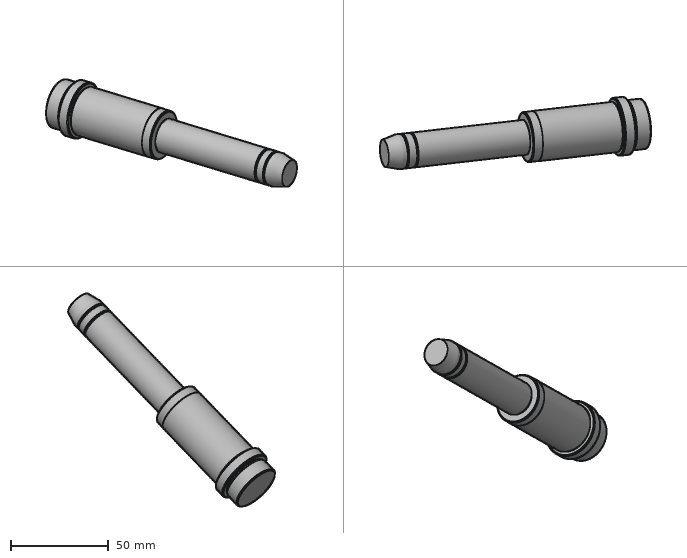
import cadquery as cq

length = 140.0
collar_dia = 30.0
body_dia = 26.0
lead_dia = 25.9
shaft_dia = 18.0
tip_dia = 14.3

collar_start = 9.0
collar_end = 15.0
lead_start = 58.7
body_end = 63.8
taper_start = 132.9
ring_groove_starts = (124.5, 129.5)

edge_chamfer = 0.5
head_relief_width = 1.3
body_relief_width = 0.7
relief_depth = 0.5
neck_width = 0.4
neck_depth = 0.7
ring_groove_width = 0.8
ring_groove_depth = 0.3


def cylinder(start, end, diameter):
    """Solid cylinder along X between two stations."""
    return cq.Workplane("YZ", origin=(start, 0, 0)).circle(diameter / 2).extrude(end - start)


def cone(start, end, start_dia, end_dia):
    """Solid frustum along X between two stations."""
    profile = [(start, 0), (start, start_dia / 2), (end, end_dia / 2), (end, 0)]
    return cq.Workplane("XY").polyline(profile).close().revolve(360, (0, 0, 0), (1, 0, 0))


head_end = collar_start - head_relief_width
relief_dia = body_dia - 2 * relief_depth
result = cylinder(0, head_end, body_dia).faces("<X").edges().chamfer(edge_chamfer)
result = result.union(cone(head_end, collar_start, body_dia, relief_dia))

collar = cylinder(collar_start, collar_end, collar_dia).edges().chamfer(edge_chamfer)
result = result.union(collar)

body_start = collar_end + body_relief_width
result = result.union(cone(collar_end, body_start, relief_dia, body_dia))
result = result.union(cylinder(body_start, lead_start, body_dia))
lead = cylinder(lead_start, body_end, lead_dia).faces(">X").edges().chamfer(edge_chamfer)
result = result.union(lead)

shaft_start = body_end + neck_width
result = result.union(cone(body_end, shaft_start, shaft_dia - 2 * neck_depth, shaft_dia))
result = result.union(cylinder(shaft_start, taper_start, shaft_dia))
result = result.union(cone(taper_start, length, shaft_dia, tip_dia))

for groove_start in ring_groove_starts:
    groove_end = groove_start + ring_groove_width
    ring = cylinder(groove_start, groove_end, collar_dia)
    core = cylinder(groove_start, groove_end, shaft_dia - 2 * ring_groove_depth)
    result = result.cut(ring.cut(core))